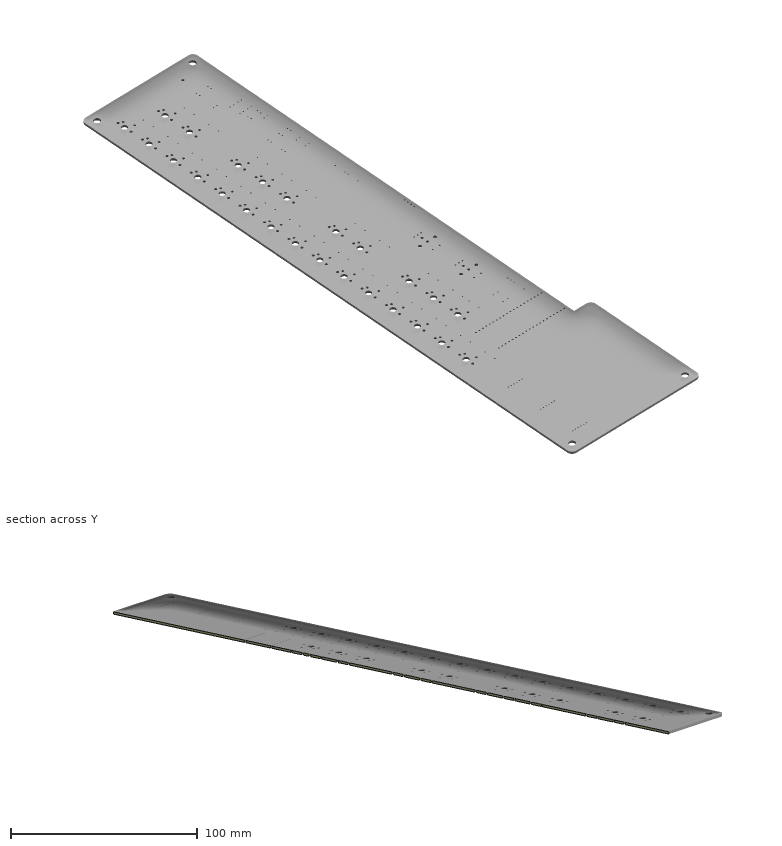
import cadquery as cq

board_length = 383.0
board_depth = 95.5
thickness = 1.5
step_x = 297.2
step_drop = 12.5
left_depth = board_depth - step_drop
corner_radius = 3.5

mount_diameter = 4.2
switch_post_diameter = 4.0
switch_peg_diameter = 1.7
switch_pin_diameter = 1.5
encoder_tab_diameter = 2.1
wide_pin_diameter = 1.0
narrow_pin_diameter = 0.8

key_pitch_steps = 7.5
front_key_count = 15
first_key_x = 20.3
last_key_x = 287.0
key_pitch = (last_key_x - first_key_x) / (front_key_count - 1)
grid = key_pitch / key_pitch_steps
front_row_y = 13.0
rear_row_y = 35.5
rear_row_shift = 0.4 * key_pitch
rear_key_slots = [0, 1, 3, 4, 5, 7, 8, 10, 11, 12]

switch_peg_offset = 2 * grid
left_pin_offset = (-1.5 * grid, grid)
right_pin_offset = (grid, 2 * grid)

long_span = 3 * grid
front_part_y = 24.5
rear_part_y = 47.5
key_part_offset = grid
last_part_offset = -1.5 * grid
long_parts = [(121.0, 73.0), (131.0, 73.0), (257.8, 76.0), (257.8, 64.0), (257.8, 60.5)]

pairs_along_x = [
    (26.0, 69.0), (26.0, 60.5),
    (59.0, 74.3), (59.0, 67.5),
    (81.0, 76.0), (81.0, 69.7), (81.0, 61.5),
    (91.5, 61.5), (252.8, 76.0),
]
pairs_along_y = [
    (41.0, 59.0),
    (46.7, 71.5), (46.7, 66.0),
    (54.5, 71.5), (54.5, 66.0),
    (66.0, 72.8), (91.0, 72.8), (98.0, 72.8),
]

encoder_centres = [(201.0, 65.5), (233.2, 65.5)]
encoder_signal_offset = 3 * grid
encoder_switch_offset = 2.7 * grid
encoder_tab_offset = 2.2 * grid
encoder_peg_spacing = 4.2

controller_x = 274.2
controller_y = 32.0
controller_pins_per_row = 20
controller_row_spacing = 7 * grid
display_x = 167.5
display_y = 80.5
display_pins = 4
connector_columns = [319.5, 344.7, 369.5]
connector_y = 13.5
connector_pins = 6
connector_pitch = 2.0

mount_inset = 6.0
locating_hole = (13.0, 63.0)


def row_x(x, y, count, pitch):
    """Hole centres in a row that runs along X from (x, y)."""
    return [(x + i * pitch, y) for i in range(count)]


def row_y(x, y, count, pitch):
    """Hole centres in a row that runs along Y from (x, y)."""
    return [(x, y + i * pitch) for i in range(count)]


def drill(body, diameter, centres):
    tools = cq.Workplane("XY").pushPoints(centres).circle(diameter / 2).extrude(thickness)
    return body.cut(tools)


def make_board():
    """Stepped plate, rounded at every corner but the inner one."""
    outline = [
        (0, 0),
        (board_length, 0),
        (board_length, board_depth),
        (step_x, board_depth),
        (step_x, left_depth),
        (0, left_depth),
    ]
    plate = cq.Workplane("XY").polyline(outline).close().extrude(thickness)
    upright = cq.selectors.ParallelDirSelector(cq.Vector(0, 0, 1))
    inner_corner = cq.selectors.NearestToPointSelector((step_x, left_depth, thickness / 2))
    return plate.edges(upright - inner_corner).fillet(corner_radius)


def drill_mounts(body):
    right_x = board_length - mount_inset
    centres = [
        (mount_inset, mount_inset),
        (mount_inset, left_depth - mount_inset),
        (right_x, mount_inset),
        (right_x, board_depth - mount_inset),
    ]
    return drill(body, mount_diameter, centres)


def drill_keys(body, keys):
    """Each key has a central post hole, a peg hole on either side and two pin holes behind it."""
    pegs = []
    pins = []
    for x, y in keys:
        pegs += [(x - switch_peg_offset, y), (x + switch_peg_offset, y)]
        for pin_x, pin_y in (left_pin_offset, right_pin_offset):
            pins.append((x + pin_x, y + pin_y))
    body = drill(body, switch_post_diameter, keys)
    body = drill(body, switch_peg_diameter, pegs)
    return drill(body, switch_pin_diameter, pins)


def drill_two_legged_parts(body, front_keys, rear_keys):
    long_places = [(x + key_part_offset, front_part_y) for x, y in front_keys]
    long_places += [(x + key_part_offset, rear_part_y) for x, y in rear_keys[:-1]]
    last_x = rear_keys[-1][0]
    long_places.append((last_x + last_part_offset, rear_part_y))
    legs = []
    for x, y in long_places + long_parts:
        legs += row_x(x, y, 2, long_span)
    for x, y in pairs_along_x:
        legs += row_x(x, y, 2, grid)
    for x, y in pairs_along_y:
        legs += row_y(x, y, 2, grid)
    return drill(body, narrow_pin_diameter, legs)


def drill_encoders(body):
    pins = []
    tabs = []
    pegs = []
    for x, y in encoder_centres:
        pins += row_y(x - encoder_signal_offset, y - grid, 3, grid)
        pins += row_y(x + encoder_switch_offset, y - grid, 2, 2 * grid)
        tabs += [(x, y - encoder_tab_offset), (x, y + encoder_tab_offset)]
        pegs += [(x - encoder_peg_spacing, y), (x, y)]
    body = drill(body, wide_pin_diameter, pins)
    body = drill(body, encoder_tab_diameter, tabs)
    return drill(body, switch_peg_diameter, pegs)


def drill_headers(body):
    pins = row_x(display_x, display_y, display_pins, grid)
    for x in (controller_x, controller_x + controller_row_spacing):
        pins += row_y(x, controller_y, controller_pins_per_row, grid)
    return drill(body, wide_pin_diameter, pins)


def drill_connectors(body):
    pins = []
    for x in connector_columns:
        pins += row_y(x, connector_y, connector_pins, connector_pitch)
    return drill(body, narrow_pin_diameter, pins)


front_keys = row_x(first_key_x, front_row_y, front_key_count, key_pitch)
rear_start_x = first_key_x + rear_row_shift
rear_keys = [(rear_start_x + slot * key_pitch, rear_row_y) for slot in rear_key_slots]

result = make_board()
result = drill_mounts(result)
result = drill_keys(result, front_keys + rear_keys)
result = drill_two_legged_parts(result, front_keys, rear_keys)
result = drill_encoders(result)
result = drill_headers(result)
result = drill_connectors(result)
result = drill(result, switch_peg_diameter, [locating_hole])